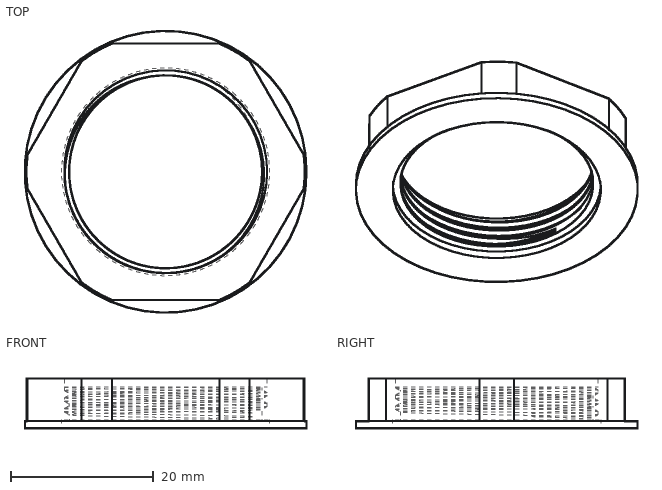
import cadquery as cq
import math

flange_diameter = 39.5
flange_thickness = 1.0
total_height = 7.0
across_flats = 35.9
corner_diameter = 38.95

bore_radius = 13.5
recess_radius = 14.22
recess_depth = 1.2

counterbore_radius = 14.58
counterbore_depth = 1.2

thread_pitch = 1.5
groove_depth = 0.67
groove_root_width = 0.47
flank_angle = 30.0
groove_overlap = 0.08
thread_start_angle = 60.0
thread_start_height = 2.0
runout_sweep = 43.0

recess_floor = total_height - recess_depth


def make_body():
    flange = cq.Workplane("XY").circle(flange_diameter / 2).extrude(flange_thickness)
    hexagon = cq.Workplane("XY").polygon(6, across_flats / math.cos(math.pi / 6)).extrude(total_height)
    corner_round = cq.Workplane("XY").circle(corner_diameter / 2).extrude(total_height)
    return flange.union(hexagon.intersect(corner_round))


def groove_section(height):
    """Groove outline in the XZ plane, at the start of a helix."""
    inner_radius = bore_radius - groove_overlap
    root_radius = bore_radius + groove_depth
    half_root = groove_root_width / 2
    half_mouth = half_root + (root_radius - inner_radius) * math.tan(math.radians(flank_angle))
    return cq.Workplane("XZ").polyline([
        (inner_radius, height - half_mouth),
        (root_radius, height - half_root),
        (root_radius, height + half_root),
        (inner_radius, height + half_mouth),
    ]).close()


def thread_groove():
    """Full-depth groove, running out into the recess at the top."""
    length = recess_floor + thread_pitch / 2 - thread_start_height
    helix = cq.Wire.makeHelix(thread_pitch, length, bore_radius)
    path = cq.Workplane(helix.translate(cq.Vector(0, 0, thread_start_height)))
    groove = groove_section(thread_start_height).sweep(path, isFrenet=True)
    below_recess = cq.Workplane("XY").circle(flange_diameter / 2).extrude(recess_floor)
    return groove.intersect(below_recess)


def runout_groove():
    """Groove leaving the wall on a conical helix; built climbing, then turned over to descend."""
    drop = thread_pitch * runout_sweep / 360
    withdrawal = groove_depth + groove_overlap
    slant_length = math.hypot(drop, withdrawal)
    slant_pitch = slant_length * 360 / runout_sweep
    taper = -math.degrees(math.atan2(withdrawal, drop))
    path = cq.Workplane(cq.Wire.makeHelix(slant_pitch, slant_length, bore_radius, angle=taper))
    climbing = groove_section(0).sweep(path, isFrenet=True)
    return climbing.rotate((0, 0, 0), (1, 0, 0), 180).translate((0, 0, thread_start_height))


body = make_body()
bore = cq.Workplane("XY").circle(bore_radius).extrude(total_height)
recess = cq.Workplane("XY").workplane(offset=recess_floor).circle(recess_radius).extrude(recess_depth)
counterbore = cq.Workplane("XY").circle(counterbore_radius).extrude(counterbore_depth)
result = body.cut(bore).cut(recess).cut(counterbore)
for groove in (thread_groove(), runout_groove()):
    result = result.cut(groove.rotate((0, 0, 0), (0, 0, 1), thread_start_angle))